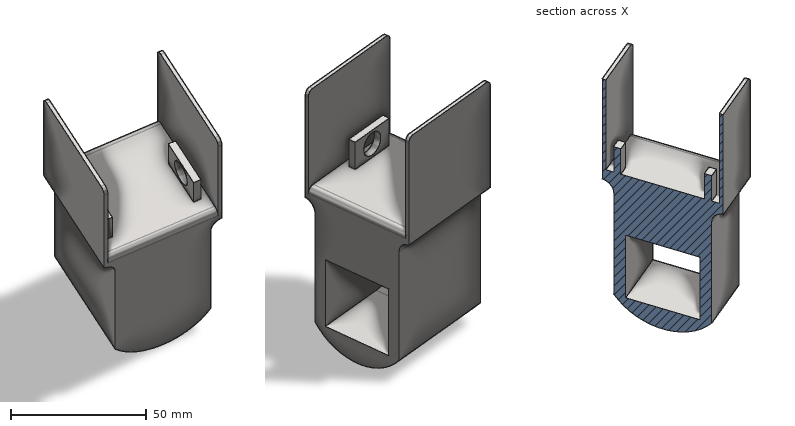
import cadquery as cq
import math

length = 48.0
width = 49.2
height = 112.4

body_half_width = 20.0
underside_rise = 10.0
floor_z = 69.0
shoulder_radius = 5.1

wall_thickness = 1.6
wall_corner_radius = 2.5
floor_edge_radius = 2.7

pocket_width = 30.0
pocket_height = 30.0
pocket_depth = 45.0

tab_length = 20.0
tab_thickness = 3.0
tab_height = 12.3
tab_start_x = 20.0
tab_hole_diameter = 10.0

wall_outer_y = width / 2
wall_inner_y = wall_outer_y - wall_thickness
shoulder_z = floor_z - 2 * shoulder_radius
shoulder_centre_y = body_half_width + shoulder_radius


def shoulder_point(y):
    """Point of the right-hand shoulder arc at a given y."""
    return y, shoulder_z + math.sqrt(shoulder_radius**2 - (shoulder_centre_y - y) ** 2)


def mirrored(point):
    return -point[0], point[1]


def make_body():
    shoulder_end = shoulder_point(wall_outer_y)
    shoulder_mid = shoulder_point(shoulder_centre_y - shoulder_radius * math.cos(math.pi / 4))
    return (
        cq.Workplane("YZ")
        .moveTo(-body_half_width, underside_rise)
        .threePointArc((0, 0), (body_half_width, underside_rise))
        .lineTo(body_half_width, shoulder_z)
        .threePointArc(shoulder_mid, shoulder_end)
        .lineTo(wall_outer_y, floor_z)
        .lineTo(-wall_outer_y, floor_z)
        .lineTo(*mirrored(shoulder_end))
        .threePointArc(mirrored(shoulder_mid), (-body_half_width, shoulder_z))
        .close()
        .extrude(length)
        .edges("|Y and >Z")
        .fillet(floor_edge_radius)
    )


def make_wall(inner_y):
    """Side wall with rounded upper corners, growing toward +Y from inner_y."""
    wall_bottom_z = shoulder_point(wall_outer_y)[1]
    return (
        cq.Workplane("XY")
        .box(length, wall_thickness, height - wall_bottom_z, centered=False)
        .edges("|Y and >Z")
        .fillet(wall_corner_radius)
        .translate((0, inner_y, wall_bottom_z))
    )


def make_tab(start_y):
    """Tab with a central cross hole, growing toward +Y from start_y."""
    return (
        cq.Workplane("XY")
        .box(tab_length, tab_thickness, tab_height, centered=False)
        .faces("<Y")
        .workplane(centerOption="CenterOfMass")
        .hole(tab_hole_diameter)
        .translate((tab_start_x, start_y, floor_z))
    )


def make_pocket():
    """Pocket open at the -X face, ending in a concave half cylinder."""
    end_radius = pocket_height / 2
    straight_depth = pocket_depth - end_radius
    bottom_z = underside_rise
    top_z = bottom_z + pocket_height
    return (
        cq.Workplane("XZ")
        .moveTo(0, bottom_z)
        .lineTo(straight_depth, bottom_z)
        .threePointArc((pocket_depth, bottom_z + end_radius), (straight_depth, top_z))
        .lineTo(0, top_z)
        .close()
        .extrude(pocket_width / 2, both=True)
    )


result = make_body().cut(make_pocket())
for inner_y in (wall_inner_y, -wall_outer_y):
    result = result.union(make_wall(inner_y))
for start_y in (body_half_width - tab_thickness, -body_half_width):
    result = result.union(make_tab(start_y))